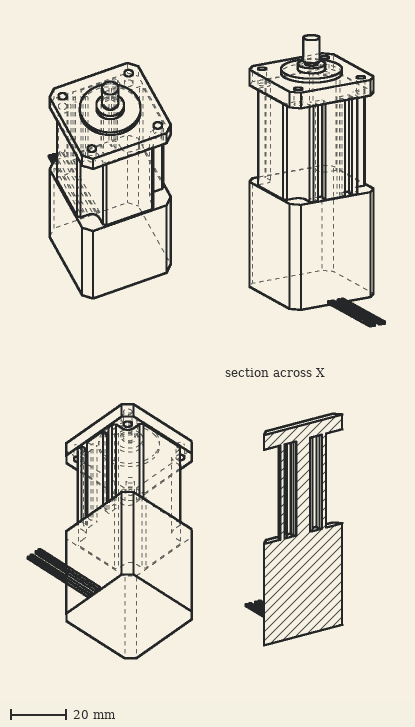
import cadquery as cq


body_width = 35.0
body_corner = 3.0
motor_height = 34.0
flange_thickness = 6.0

housing_width = 34.0
housing_height = 36.7
notch_size = 7.0
notch_fillet = 3.0
notch_chamfer = 1.0

slot_offset = 5.6
slot_width = 3.0
slot_neck_depth = 2.0
slot_inner_width = 5.0
slot_depth = 4.0

hole_spacing = 26.0
hole_diameter = 3.1

pilot_diameter = 22.0
pilot_height = 1.5
collar_diameter = 10.0
collar_height = 1.9
neck_diameter = 4.5
neck_height = 1.2
shaft_diameter = 6.0
total_height = 96.1

wire_length = 30.0
wire_diameter = 1.0
wire_height = 1.0
wire_positions = (2.8, 1.3, -1.25, -2.8)

lower_flange_z = motor_height
housing_z = lower_flange_z + flange_thickness
upper_flange_z = housing_z + housing_height
pilot_z = upper_flange_z + flange_thickness
collar_z = pilot_z + pilot_height
neck_z = collar_z + collar_height
shaft_z = neck_z + neck_height
shaft_height = total_height - shaft_z


def square_block(z, height):
    """Square block with cut vertical corners."""
    block = cq.Workplane("XY").workplane(offset=z).rect(body_width, body_width).extrude(height)
    return block.edges("|Z").chamfer(body_corner)


def disc(diameter, z, height):
    """Round step with its base at height z."""
    return cq.Workplane("XY").workplane(offset=z).circle(diameter / 2).extrude(height)


def box(x_min, x_max, y_center, y_size):
    """Box as tall as the gear housing."""
    return (
        cq.Workplane("XY")
        .workplane(offset=housing_z)
        .center((x_min + x_max) / 2, y_center)
        .rect(x_max - x_min, y_size)
        .extrude(housing_height)
    )


def corner_notch(x_side, y_side):
    """Square corner cut, rounded inside and flared at 45 degrees where it meets the faces."""
    face = housing_width / 2
    wall = face - notch_size
    lip = wall - notch_chamfer
    rim = face - notch_chamfer
    return (
        cq.Workplane("XY")
        .workplane(offset=housing_z)
        .moveTo(x_side * face, y_side * face)
        .lineTo(x_side * face, y_side * lip)
        .lineTo(x_side * rim, y_side * wall)
        .lineTo(x_side * (wall + notch_fillet), y_side * wall)
        .radiusArc((x_side * wall, y_side * (wall + notch_fillet)), x_side * y_side * notch_fillet)
        .lineTo(x_side * wall, y_side * rim)
        .lineTo(x_side * lip, y_side * face)
        .close()
        .extrude(housing_height)
    )


def t_slot(y):
    """Slot open to the -X face that widens behind a narrow neck."""
    face = -housing_width / 2
    neck = box(face, face + slot_depth, y, slot_width)
    return neck.union(box(face + slot_neck_depth, face + slot_depth, y, slot_inner_width))


def gear_housing():
    housing = box(-housing_width / 2, housing_width / 2, 0, housing_width)
    for x_side in (-1, 1):
        for y_side in (-1, 1):
            housing = housing.cut(corner_notch(x_side, y_side))
    for y in (-slot_offset, slot_offset):
        housing = housing.cut(t_slot(y))
    return housing


def upper_flange():
    flange = square_block(upper_flange_z, flange_thickness)
    return (
        flange.faces(">Z")
        .workplane()
        .rect(hole_spacing, hole_spacing, forConstruction=True)
        .vertices()
        .hole(hole_diameter)
    )


def wire(y):
    """Straight round lead wire along -X."""
    return (
        cq.Workplane("YZ", origin=(-body_width / 2, 0, 0))
        .center(y, wire_height)
        .circle(wire_diameter / 2)
        .extrude(-wire_length)
    )


parts = [
    square_block(lower_flange_z, flange_thickness),
    gear_housing(),
    upper_flange(),
    disc(pilot_diameter, pilot_z, pilot_height),
    disc(collar_diameter, collar_z, collar_height),
    disc(neck_diameter, neck_z, neck_height),
    disc(shaft_diameter, shaft_z, shaft_height),
]
parts += [wire(y) for y in wire_positions]

result = square_block(0, motor_height)
for part in parts:
    result = result.union(part, clean=False)